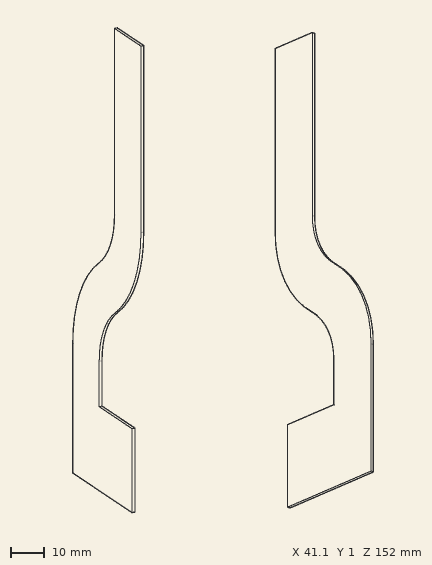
import cadquery as cq
import math

height = 152.0
thickness = 1.0
strip_width = 16.0
side_offset = 25.1

foot_width = 35.7
foot_height = 27.0

bend_start = 41.6
inner_radius = 23.5
outer_radius = inner_radius + strip_width
center_distance = inner_radius + outer_radius
bend_angle = math.acos(1 - side_offset / center_distance)
bend_end = bend_start + center_distance * math.sin(bend_angle)

lower_center = (outer_radius, bend_start)
upper_center = (side_offset - inner_radius, bend_end)


def lower_point(radius, angle):
    """Point on a lower bend arc, at an angle from its vertical start."""
    x, z = lower_center
    return (x - radius * math.cos(angle), z + radius * math.sin(angle))


def upper_point(radius, angle):
    """Point on an upper bend arc, at an angle from its vertical end."""
    x, z = upper_center
    return (x + radius * math.cos(angle), z - radius * math.sin(angle))


half_angle = bend_angle / 2
right_edge = side_offset + strip_width

outline = (
    cq.Workplane("XZ")
    .moveTo(0, 0)
    .lineTo(0, bend_start)
    .threePointArc(lower_point(outer_radius, half_angle), lower_point(outer_radius, bend_angle))
    .threePointArc(upper_point(inner_radius, half_angle), (side_offset, bend_end))
    .lineTo(side_offset, height)
    .lineTo(right_edge, height)
    .lineTo(right_edge, bend_end)
    .threePointArc(upper_point(outer_radius, half_angle), upper_point(outer_radius, bend_angle))
    .threePointArc(lower_point(inner_radius, half_angle), (strip_width, bend_start))
    .lineTo(strip_width, foot_height)
    .lineTo(foot_width, foot_height)
    .lineTo(foot_width, 0)
    .close()
)

result = outline.extrude(thickness)